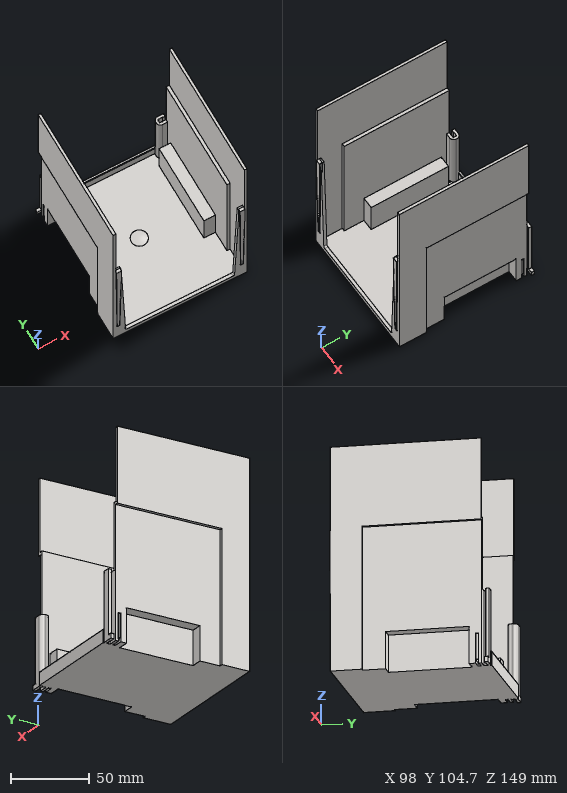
import cadquery as cq

width = 98.0
height = 149.0
depth = 98.6
sheet = 2.1
half_width = width / 2

frame_thickness = 2.4
frame_height = 94.2
sill_height = 4.2
frame_width_low = 9.2
frame_width_high = 6.0
sill_corner_radius = 1.2

panel_recess = 2.4
panel_recess_front = 20.7
panel_recess_top = 95.0
block_recess = 10.9
block_recess_front = 35.8
block_recess_back = 90.5
block_recess_top = 24.7

slot_front = 94.8
slot_end = 9.2
slot_top = 3.0
groove_top = 20.0
groove_depth = 0.7

hook_height = 49.8
hook_back = 103.3
hook_tip = 3.7
hook_web = 11.2
hook_corner_radius = 3.0
hook_strip = 2.1
lip_width = 2.0
lip_thickness = 2.4
foot_tip = 0.6
foot_height = 3.6
ledge_inset = 9.8
ledge_front = 101.5
ledge_back = 103.7
ledge_height = 9.7
ledge_chamfer = 0.5

dome_radius = 5.8
dome_height = 1.2
dome_y = 53.6

rail_inset = 3.9
rail_bottom = 14.6
rail_width_low = 2.0
rail_width_high = 3.6
rail_embedded = 1.2
rail_proud_low = 0.37
rail_proud_high = 1.0
rail_end_chamfer = 1.2


def block(x_range, y_range, z_range):
    """Box between two limits along each axis."""
    (x0, x1), (y0, y1), (z0, z1) = x_range, y_range, z_range
    return cq.Workplane("XY").box(x1 - x0, y1 - y0, z1 - z0, centered=False).translate((x0, y0, z0))


def left_block(inset_range, y_range, z_range):
    """Box on the left side, its X limits given as insets from the outer side face."""
    x_range = [inset - half_width for inset in inset_range]
    return block(x_range, y_range, z_range)


def both_sides(left):
    """The left shape together with its mirror image on the right."""
    return left.union(left.mirror("YZ"))


def side_wall():
    """Outer wall with the pad and block that stand out on its inner face."""
    wall = left_block((0, sheet), (0, depth), (0, height))
    pad = left_block(
        (0, panel_recess + sheet),
        (panel_recess_front - sheet, depth),
        (0, panel_recess_top + sheet),
    )
    inner_block = left_block(
        (0, block_recess + sheet),
        (block_recess_front - sheet, block_recess_back + sheet),
        (0, block_recess_top + sheet),
    )
    return wall.union(pad).union(inner_block)


def side_recesses():
    """Hollows in the outer face behind the pad and the block, open at the underside."""
    panel = left_block((0, panel_recess), (panel_recess_front, depth), (0, panel_recess_top))
    hollow = left_block(
        (0, block_recess), (block_recess_front, block_recess_back), (0, block_recess_top)
    )
    return panel.union(hollow)


def relief_slot():
    """Slot through the floor edge and panel foot, with a shallow groove up the panel."""
    slot_range = (slot_front, depth - hook_strip)
    slot = left_block((0, slot_end), slot_range, (0, slot_top))
    groove = left_block((0, panel_recess + groove_depth), slot_range, (0, groove_top))
    return slot.union(groove)


def front_frame():
    """U-shaped frame: a sill and two uprights that narrow toward the top."""
    low = half_width - frame_width_low
    high = half_width - frame_width_high
    frame = block((-half_width, half_width), (0, frame_thickness), (0, frame_height))
    opening = (
        cq.Workplane("XZ")
        .polyline([(-low, sill_height), (low, sill_height), (high, frame_height), (-high, frame_height)])
        .close()
        .extrude(-frame_thickness)
        .edges("|Y and <Z")
        .fillet(sill_corner_radius)
    )
    return frame.cut(opening)


def hook():
    """J-shaped strip behind the left panel, with a thicker lip and a foot at its free end."""
    tip = hook_tip - half_width
    web = hook_web - half_width
    arm_front = depth - hook_strip
    outline = block((tip, web), (arm_front, hook_back), (0, hook_height))
    outline = outline.edges("|Z and >X").fillet(hook_corner_radius)
    gap = block((tip, web - hook_strip), (depth, hook_back - hook_strip), (0, hook_height))
    lip_range = (hook_back - lip_thickness, hook_back)
    lip = left_block((hook_tip, hook_tip + lip_width), lip_range, (0, hook_height))
    foot = left_block((foot_tip, hook_tip), lip_range, (0, foot_height))
    return outline.cut(gap).union(lip).union(foot)


def back_ledge():
    """Low bar that closes the back of the floor between the hooks."""
    reach = half_width - ledge_inset
    bar = block((-reach, reach), (ledge_front, ledge_back), (0, ledge_height))
    return bar.edges("|X and >Z").chamfer(ledge_chamfer)


def floor_plate():
    """Floor between the side walls."""
    return block((-half_width, half_width), (0, depth), (0, sheet))


def floor_tongue():
    """Narrower part of the floor that reaches back between the hooks to the ledge."""
    reach = half_width - hook_web + hook_strip / 2
    return block((-reach, reach), (slot_front, ledge_front), (0, sheet))


def dome():
    """Shallow spherical cap on the floor."""
    ball_radius = (dome_radius**2 + dome_height**2) / (2 * dome_height)
    ball = cq.Workplane("XY").sphere(ball_radius)
    ball = ball.translate((0, dome_y, sheet + dome_height - ball_radius))
    keep = block(
        (-dome_radius, dome_radius),
        (dome_y - dome_radius, dome_y + dome_radius),
        (sheet / 2, sheet + dome_height),
    )
    return ball.intersect(keep)


def rail(side):
    """Rail that grows wider and stands prouder toward its top; side is -1 left or 1 right."""
    low = rail_width_low / 2
    high = rail_width_high / 2
    face = (
        cq.Workplane("XZ")
        .polyline([(-low, rail_bottom), (low, rail_bottom), (high, frame_height), (-high, frame_height)])
        .close()
        .extrude(rail_proud_high + rail_embedded)
        .translate((side * (half_width - rail_inset), rail_embedded, 0))
    )
    profile = (
        cq.Workplane("YZ")
        .polyline([
            (rail_embedded, rail_bottom),
            (0, rail_bottom),
            (-rail_proud_low, rail_bottom + rail_end_chamfer),
            (-rail_proud_high, frame_height),
            (rail_embedded, frame_height),
        ])
        .close()
        .extrude(half_width, both=True)
    )
    return face.intersect(profile)


def sheet_housing():
    """Housing with everything but the seats for the rails."""
    body = floor_plate().union(both_sides(side_wall())).union(front_frame())
    body = body.cut(both_sides(side_recesses())).cut(both_sides(relief_slot()))
    return body.union(both_sides(hook())).union(floor_tongue()).union(back_ledge()).union(dome())


rails = [rail(side) for side in (-1, 1)]

housing = sheet_housing()
for rail_body in rails:
    housing = housing.cut(rail_body)

result = cq.Compound.makeCompound([housing.val(), *[rail_body.val() for rail_body in rails]])